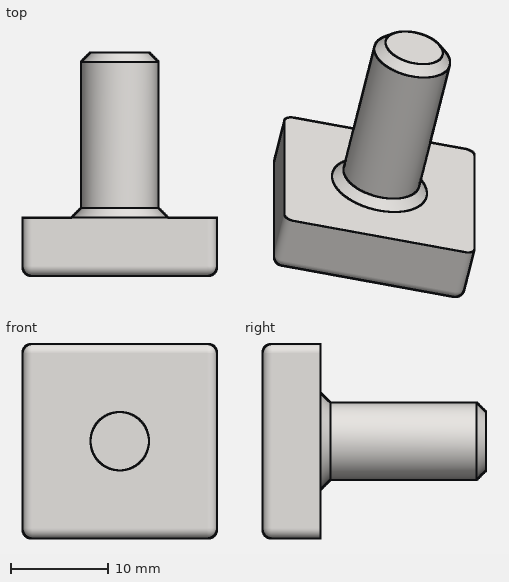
import cadquery as cq

head_side = 20.0
head_thickness = 6.0
edge_radius = 1.0

total_length = 23.0
stem_diameter = 8.0
tip_chamfer = 1.0
collar_height = 1.0
collar_diameter = stem_diameter + 2 * collar_height

hole_diameter = 6.0
hole_depth = head_thickness / 2


def make_head():
    """Square plate with rounded sides and front edges; the back rim stays sharp."""
    plate = cq.Workplane("XZ").rect(head_side, head_side).extrude(-head_thickness)
    return plate.edges("|Y or <Y").fillet(edge_radius)


def make_stem():
    """Stem revolved about Y, with a conical collar at the head and a chamfered tip."""
    stem_radius = stem_diameter / 2
    collar_end = head_thickness + collar_height
    profile = (
        cq.Workplane("XY")
        .moveTo(0, head_thickness)
        .lineTo(collar_diameter / 2, head_thickness)
        .lineTo(stem_radius, collar_end)
        .lineTo(stem_radius, total_length - tip_chamfer)
        .lineTo(stem_radius - tip_chamfer, total_length)
        .lineTo(0, total_length)
        .close()
    )
    return profile.revolve(360, (0, 0, 0), (0, 1, 0))


def make_hole():
    return cq.Workplane("XZ").circle(hole_diameter / 2).extrude(-hole_depth)


result = make_head().union(make_stem()).cut(make_hole())